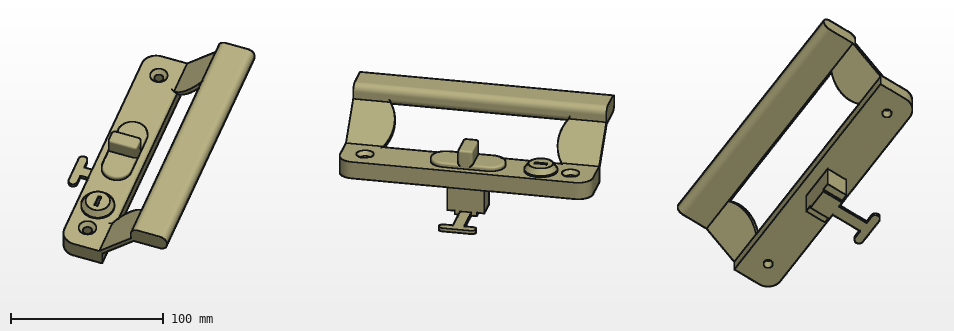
import cadquery as cq
import math


handle_length = 170.0
plate_width = 30.0
plate_thickness = 12.0
plate_corner_radius = 10.0

grip_width = 25.0
grip_thickness = 12.0
grip_radius = 5.0
grip_right = 75.0
grip_left = grip_right - grip_width
grip_bottom = 32.0

web_offset = 2.0
web_start_x = plate_width - web_offset
web_end_z = grip_bottom + web_offset

web_tab_reach = 30.0
web_tab_radius = 28.0
opening_edge_radius = 4.5

screw_x = 14.0
screw_spacing = 138.0
screw_hole_diameter = 6.0
countersink_diameter = 11.5
countersink_angle = 90.0

slide_width = 20.0
slide_length = 50.0
slide_thickness = 3.0
slide_x = 15.0
slide_edge_radius = 1.5

thumb_thickness = 10.0
thumb_height = 13.0
thumb_corner_radius = 2.0

block_width = 15.0
block_length = 25.0
block_depth = 20.0
block_x = slide_x
block_left = block_x - block_width / 2

tail_thickness = 2.5
tail_tip_x = -20.5
tail_head_width = 6.0
tail_head_length = 25.0
tail_stem_width = 7.5
tail_foot_size = 15.0
tail_z = -block_depth - tail_thickness

lock_x = 14.0
lock_y = -49.0
lock_base_radius = 11.0
lock_top_radius = 8.0
lock_rim_height = 1.0
lock_height = 5.0
key_slot_width = 2.0
key_slot_length = 8.0
key_slot_depth = 2.0


def extrude_along_handle(profile):
    """Extrude an XZ profile over the full length, centred on Y = 0."""
    return profile.extrude(handle_length / 2, both=True)


def box_between(x_start, x_end, width, z_start, height):
    """Box from x_start to x_end, centred on Y = 0, standing on z_start."""
    centre_x = (x_start + x_end) / 2
    return (
        cq.Workplane("XY", origin=(centre_x, 0, z_start))
        .box(x_end - x_start, width, height, centered=(True, True, False))
    )


def make_plate():
    return (
        box_between(0, plate_width, handle_length, 0, plate_thickness)
        .edges("|Z and <X")
        .fillet(plate_corner_radius)
    )


def make_grip():
    grip = box_between(grip_left, grip_right, handle_length, grip_bottom, grip_thickness)
    grip = grip.edges("|Y and <X and >Z").fillet(grip_radius)
    return grip.edges("|Y and >X").fillet(grip_radius)


def make_web():
    profile = cq.Workplane("XZ").polyline([
        (web_start_x, plate_thickness),
        (grip_left, web_end_z),
        (grip_left + web_offset, grip_bottom),
        (plate_width, plate_thickness - web_offset),
    ]).close()
    return extrude_along_handle(profile)


def make_opening():
    """Space cut between the tabs, with rounded edges where it meets plate and grip."""
    turn = math.pi / 4
    setback = opening_edge_radius * math.tan(turn / 2)
    setback_45 = setback * math.sin(turn)
    mid_drop = opening_edge_radius * (1 - math.cos(turn / 2))
    mid_run = opening_edge_radius * math.sin(turn / 2)
    wall_run = 2 * web_offset

    profile = (
        cq.Workplane("XZ")
        .moveTo(web_start_x - setback, plate_thickness)
        .threePointArc(
            (web_start_x - setback + mid_run, plate_thickness - mid_drop),
            (web_start_x + setback_45, plate_thickness - setback_45),
        )
        .lineTo(web_start_x + wall_run, plate_thickness - wall_run)
        .lineTo(grip_left + wall_run, web_end_z - wall_run)
        .lineTo(grip_left + setback_45, web_end_z - setback_45)
        .threePointArc(
            (grip_left + mid_drop, web_end_z + setback - mid_run),
            (grip_left, web_end_z + setback),
        )
        .close()
    )
    opening = extrude_along_handle(profile)

    web_mid_x = (web_start_x + grip_left) / 2
    web_mid_z = (plate_thickness + web_end_z) / 2
    tab_y = handle_length / 2 - web_tab_reach + web_tab_radius
    for end_y in (-tab_y, tab_y):
        tab_centre = (web_mid_x, end_y, web_mid_z)
        tab_plane = cq.Plane(origin=tab_centre, xDir=(0, 1, 0), normal=(1, 0, -1))
        tab = cq.Workplane(tab_plane).circle(web_tab_radius).extrude(grip_width, both=True)
        opening = opening.cut(tab)
    return opening


def make_handle():
    handle = make_plate().union(make_web()).union(make_grip()).cut(make_opening())
    screw_points = [(screw_x, side * screw_spacing / 2) for side in (-1, 1)]
    handle = (
        handle.copyWorkplane(cq.Workplane("XY", origin=(0, 0, plate_thickness)))
        .pushPoints(screw_points)
        .cskHole(screw_hole_diameter, countersink_diameter, countersink_angle)
    )
    return handle.cut(make_block())


def make_block():
    """Latch block from the tail up to the top of the plate."""
    return box_between(
        block_left, block_left + block_width, block_length, -block_depth, block_depth + plate_thickness
    )


def make_slide():
    base = (
        cq.Workplane("XY", origin=(slide_x, 0, plate_thickness))
        .slot2D(slide_length, slide_width, angle=90)
        .extrude(slide_thickness)
        .faces(">Z")
        .edges()
        .fillet(slide_edge_radius)
    )
    thumb = (
        cq.Workplane("XY", origin=(slide_x, 0, plate_thickness))
        .box(slide_width, thumb_thickness, thumb_height, centered=(True, True, False))
        .edges("|Z")
        .fillet(thumb_corner_radius)
        .faces(">Z")
        .edges()
        .fillet(slide_edge_radius)
    )
    return base.union(thumb)


def make_tail():
    head = (
        cq.Workplane("XY", origin=(tail_tip_x + tail_head_width / 2, 0, tail_z))
        .slot2D(tail_head_length, tail_head_width, angle=90)
        .extrude(tail_thickness)
    )
    stem = box_between(
        tail_tip_x + tail_head_width / 2, block_x, tail_stem_width, tail_z, tail_thickness
    )
    foot = box_between(
        block_left, block_left + tail_foot_size, tail_foot_size, tail_z, tail_thickness
    )
    return head.union(stem).union(foot)


def make_slide_latch():
    return make_block().union(make_slide()).union(make_tail())


def make_lock():
    profile = cq.Workplane("XZ").polyline([
        (0, 0),
        (lock_base_radius, 0),
        (lock_base_radius, lock_rim_height),
        (lock_top_radius, lock_height),
        (0, lock_height),
    ]).close()
    lock = profile.revolve(360, (0, 0), (0, 1))
    key_slot = (
        cq.Workplane("XY", origin=(0, 0, lock_height - key_slot_depth))
        .box(key_slot_width, key_slot_length, key_slot_depth, centered=(True, True, False))
    )
    return lock.cut(key_slot).translate((lock_x, lock_y, plate_thickness))


handle = make_handle()
slide_latch = make_slide_latch()
lock = make_lock()

result = cq.Compound.makeCompound([
    handle.solids().val(),
    slide_latch.solids().val(),
    lock.solids().val(),
])